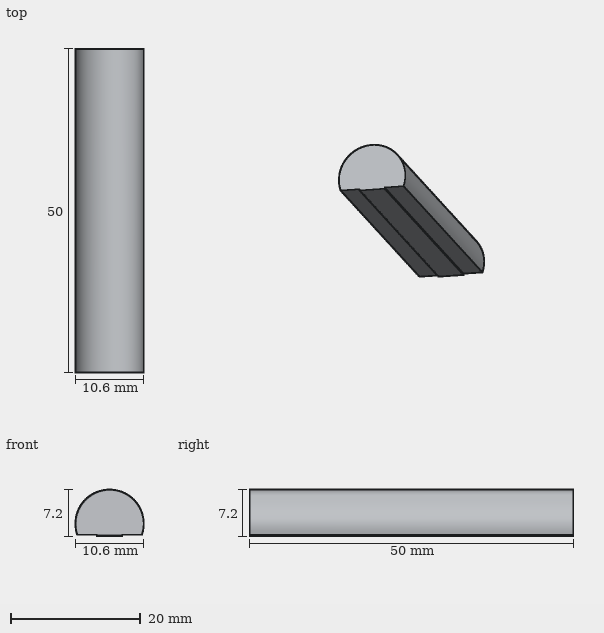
import cadquery as cq
import math

length = 50.0
height = 7.2
round_diameter = 10.6
ridge_width = 4.0
ridge_height = 0.2
end_bevel_depth = 0.02
end_bevel_width = 0.1

radius = round_diameter / 2
bottom_z = radius - height
flat_z = bottom_z + ridge_height
flat_half_width = math.sqrt(radius**2 - flat_z**2)
front_y = -length / 2
back_y = length / 2


def d_bar():
    """Bar along Y with a D-shaped section: a round over a flat underside."""
    profile = (
        cq.Workplane("XZ", origin=(0, back_y, 0))
        .moveTo(-flat_half_width, flat_z)
        .threePointArc((0, radius), (flat_half_width, flat_z))
        .close()
    )
    return profile.extrude(length)


def bevel_front_rim(bar):
    """Shallow bevel round the -Y end face, wider across the face than it is deep."""
    return bar.faces("<Y").chamfer(end_bevel_depth, end_bevel_width)


def underside_ridge():
    """Low rectangular ridge along the middle of the flat, starting behind the bevel."""
    ridge_front_y = front_y + end_bevel_depth
    return cq.Workplane("XY").box(
        ridge_width,
        back_y - ridge_front_y,
        -bottom_z,
        centered=(True, False, False),
    ).translate((0, ridge_front_y, bottom_z))


result = bevel_front_rim(d_bar()).union(underside_ridge())